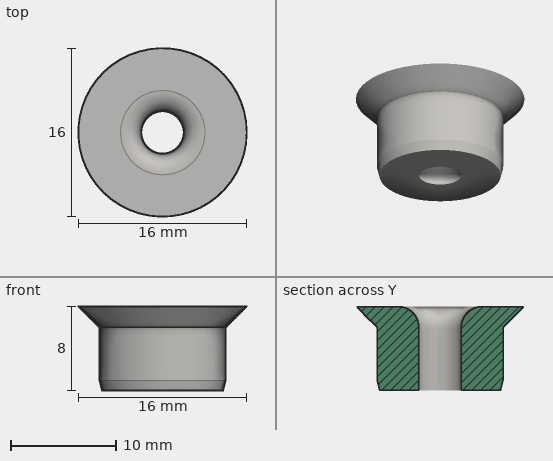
import cadquery as cq
import math

total_height = 8.0
head_radius = 8.0
body_radius = 6.0
bore_radius = 2.0

head_height = head_radius - body_radius

lead_in_height = 1.0
lead_in_inset = 0.25
lead_in_radius = body_radius - lead_in_inset

mouth_radius = 2.0


def make_blank():
    """Solid of revolution: lead-in taper, cylindrical body and flared head."""
    return (
        cq.Workplane("XZ")
        .moveTo(0, 0)
        .lineTo(lead_in_radius, 0)
        .lineTo(body_radius, lead_in_height)
        .lineTo(body_radius, total_height - head_height)
        .lineTo(head_radius, total_height)
        .lineTo(0, total_height)
        .close()
        .revolve(360, (0, 0), (0, 1))
    )


def make_bore():
    """Through bore that widens to the top face along a quarter circle."""
    mouth_start = total_height - mouth_radius
    arc_offset = mouth_radius * math.sqrt(0.5)
    arc_middle = (bore_radius + mouth_radius - arc_offset, mouth_start + arc_offset)
    return (
        cq.Workplane("XZ")
        .moveTo(0, 0)
        .lineTo(bore_radius, 0)
        .lineTo(bore_radius, mouth_start)
        .threePointArc(arc_middle, (bore_radius + mouth_radius, total_height))
        .lineTo(0, total_height)
        .close()
        .revolve(360, (0, 0), (0, 1))
    )


result = make_blank().cut(make_bore())